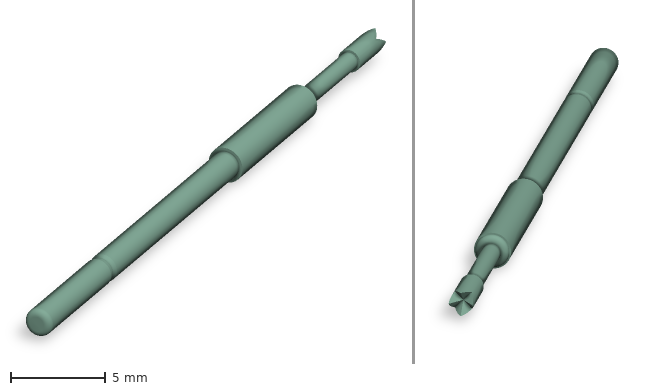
import cadquery as cq
import math

LENGTH = 39.3
TIP_Y = LENGTH / 2
TAIL_Y = -LENGTH / 2

HEAD_DIAMETER = 1.3
HEAD_LENGTH = 3.03
CROWN_DEPTH = 0.8
PLUNGER_DIAMETER = 1.02
PLUNGER_LENGTH = 5.3

COLLAR_DIAMETER = 2.0
COLLAR_LENGTH = 9.05
NOSE_DIAMETER = 1.8
NOSE_LENGTH = 0.35
NOSE_ROUND = 0.3
BARREL_DIAMETER = 1.57
TAIL_ROUND = 0.35

GROOVE_WIDTH = 0.65
GROOVE_DEPTH = 0.06
GROOVE_FROM_TAIL = 7.43

HEAD_BACK_Y = TIP_Y - HEAD_LENGTH
COLLAR_FRONT_Y = HEAD_BACK_Y - PLUNGER_LENGTH
NOSE_BACK_Y = COLLAR_FRONT_Y - NOSE_LENGTH
COLLAR_BACK_Y = COLLAR_FRONT_Y - COLLAR_LENGTH


def cylinder(diameter, front_y, back_y):
    """Solid cylinder on the Y axis; its front end faces +Y."""
    plane = cq.Workplane("XZ", origin=(0, front_y, 0))
    return plane.circle(diameter / 2).extrude(front_y - back_y)


def crown_cut():
    """Two crossed V slots that leave four points, on the X and Z axes."""
    point_offset = HEAD_DIAMETER / 2 * math.sin(math.radians(45))
    overshoot = 0.4
    half_mouth = point_offset * (1 + overshoot / CROWN_DEPTH)
    slot = (
        cq.Workplane("XY")
        .moveTo(0, TIP_Y - CROWN_DEPTH)
        .lineTo(half_mouth, TIP_Y + overshoot)
        .lineTo(-half_mouth, TIP_Y + overshoot)
        .close()
        .extrude(HEAD_DIAMETER, both=True)
    )
    axis_start = (0, 0, 0)
    axis_end = (0, 1, 0)
    return slot.rotate(axis_start, axis_end, 45).union(slot.rotate(axis_start, axis_end, -45))


def crimp_groove():
    """V-section ring, removed from the barrel surface."""
    radius = BARREL_DIAMETER / 2
    middle_y = TAIL_Y + GROOVE_FROM_TAIL
    front_y = middle_y + GROOVE_WIDTH / 2
    back_y = middle_y - GROOVE_WIDTH / 2
    outer_radius = radius + GROOVE_DEPTH
    return (
        cq.Workplane("XY")
        .moveTo(radius, front_y)
        .lineTo(radius - GROOVE_DEPTH, middle_y)
        .lineTo(radius, back_y)
        .lineTo(outer_radius, back_y)
        .lineTo(outer_radius, front_y)
        .close()
        .revolve(360, (0, 0, 0), (0, 1, 0))
    )


head = cylinder(HEAD_DIAMETER, TIP_Y, HEAD_BACK_Y).cut(crown_cut())
plunger = cylinder(PLUNGER_DIAMETER, HEAD_BACK_Y, COLLAR_FRONT_Y)
nose = cylinder(NOSE_DIAMETER, COLLAR_FRONT_Y, NOSE_BACK_Y).edges(">Y").fillet(NOSE_ROUND)
collar = cylinder(COLLAR_DIAMETER, NOSE_BACK_Y, COLLAR_BACK_Y)
barrel = cylinder(BARREL_DIAMETER, COLLAR_BACK_Y, TAIL_Y).edges("<Y").fillet(TAIL_ROUND).cut(crimp_groove())

result = head.union(plunger).union(nose).union(collar).union(barrel)